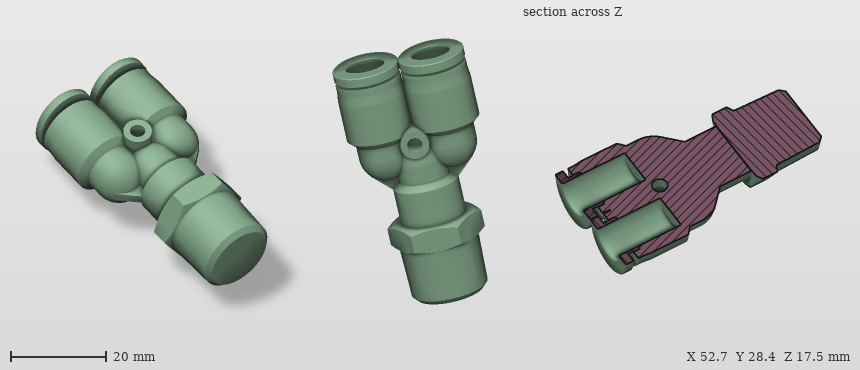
import cadquery as cq
import math

FLANGE_END = 1.95
BODY_START = 3.1
MOUTH_END = 4.6
TAPER_END = 6.65
SLEEVE_END = 15.4
SHOULDER_END = 16.75
DOME_START = 19.95
THROAT_START = 22.65
THROAT_END = 26.5
STEM_START = 27.7
HEX_START = 35.5
HEX_END = 40.75
TIP_CHAMFER_START = 51.6
LENGTH = 52.7

BRANCH_OFFSET = 7.0
SLEEVE_DIAMETER = 14.4
MOUTH_DIAMETER = 13.9
DOME_DIAMETER = 11.15
THROAT_DIAMETER = DOME_DIAMETER
STEM_DIAMETER = 14.0

FLANGE_WIDTH = 2 * BRANCH_OFFSET
FLANGE_HEIGHT = 16.0
FLANGE_CHAMFER = 0.2
COLLAR_DIAMETER = 9.7
BORE_DIAMETER = 8.2
BORE_CHAMFER = 0.2
COLLAR_END = 4.75

BORE_END = SLEEVE_END

BOSS_X = 17.15
BOSS_DIAMETER = 6.0
BOSS_HOLE_DIAMETER = 3.2
BOSS_HEIGHT = SLEEVE_DIAMETER

WEB_THICKNESS = 2.05

HEX_ACROSS_FLATS = 17.45
HEX_ACROSS_CORNERS = HEX_ACROSS_FLATS / math.cos(math.radians(30))
HEX_FACE_DIAMETER = 17.1
HEX_CHAMFER_LENGTH = 0.8
THREAD_ROOT_DIAMETER = 16.95
THREAD_TAPER = 1 / 16
THREAD_TIP_DIAMETER = THREAD_ROOT_DIAMETER - THREAD_TAPER * (TIP_CHAMFER_START - HEX_END)
TIP_FACE_DIAMETER = 14.1


def turned(stations):
    """Solid of revolution about X from (x, diameter) stations."""
    rim = [(x, diameter / 2) for x, diameter in stations]
    outline = [(stations[0][0], 0), *rim, (stations[-1][0], 0)]
    return cq.Workplane("XY").polyline(outline).close().revolve(360, (0, 0, 0), (1, 0, 0))


def cylinder(start, end, diameter):
    """Cylinder along X."""
    return turned([(start, diameter), (end, diameter)])


def branch():
    """One tube branch on the X axis, with a domed inner end."""
    radius = DOME_DIAMETER / 2
    return (
        cq.Workplane("XY")
        .moveTo(BODY_START, 0)
        .lineTo(BODY_START, MOUTH_DIAMETER / 2)
        .lineTo(MOUTH_END, MOUTH_DIAMETER / 2)
        .lineTo(TAPER_END, SLEEVE_DIAMETER / 2)
        .lineTo(SLEEVE_END, SLEEVE_DIAMETER / 2)
        .lineTo(SHOULDER_END, radius)
        .lineTo(DOME_START, radius)
        .radiusArc((DOME_START + radius, 0), radius)
        .close()
        .revolve(360, (0, 0, 0), (1, 0, 0))
    )


def stem():
    """Central outlet with its domed throat and conical shoulder."""
    radius = THROAT_DIAMETER / 2
    return (
        cq.Workplane("XY")
        .moveTo(THROAT_START - radius, 0)
        .radiusArc((THROAT_START, radius), radius)
        .lineTo(THROAT_END, radius)
        .lineTo(STEM_START, STEM_DIAMETER / 2)
        .lineTo(HEX_START, STEM_DIAMETER / 2)
        .lineTo(HEX_START, 0)
        .close()
        .revolve(360, (0, 0, 0), (1, 0, 0))
    )


def web():
    """Flat web whose slanted edges run from the stem to touch the domes."""
    reach = DOME_DIAMETER / 2 * math.sqrt(0.5)
    touch_x = DOME_START + reach
    touch_y = BRANCH_OFFSET + reach
    stem_radius = STEM_DIAMETER / 2
    outline = [
        (DOME_START, -BRANCH_OFFSET),
        (touch_x, -touch_y),
        (STEM_START, -stem_radius),
        (STEM_START, stem_radius),
        (touch_x, touch_y),
        (DOME_START, BRANCH_OFFSET),
    ]
    return cq.Workplane("XY").polyline(outline).close().extrude(WEB_THICKNESS / 2, both=True)


def vertical_cylinder(diameter):
    """Cylinder along Z on the boss axis."""
    return cq.Workplane("XY").center(BOSS_X, 0).circle(diameter / 2).extrude(BOSS_HEIGHT / 2, both=True)


def make_body():
    """Y body with stepped collar sockets and a through-drilled mounting boss."""
    body = stem().union(web())
    for side in (-1, 1):
        body = body.union(branch().translate((0, side * BRANCH_OFFSET, 0)))
    socket = cylinder(BODY_START, COLLAR_END, COLLAR_DIAMETER)
    tube_bore = cylinder(COLLAR_END, BORE_END, BORE_DIAMETER)
    cavity = socket.union(tube_bore)
    for side in (-1, 1):
        body = body.cut(cavity.translate((0, side * BRANCH_OFFSET, 0)))
    body = body.union(vertical_cylinder(BOSS_DIAMETER))
    return body.cut(vertical_cylinder(BOSS_HOLE_DIAMETER))


def make_collar(side):
    """Release collar: oval flange on a tube that seats on the socket step."""
    flange = (
        cq.Workplane("YZ")
        .ellipse(FLANGE_WIDTH / 2, FLANGE_HEIGHT / 2)
        .extrude(FLANGE_END)
        .faces("<X").chamfer(FLANGE_CHAMFER)
    )
    bore = turned([
        (0, BORE_DIAMETER + 2 * BORE_CHAMFER),
        (BORE_CHAMFER, BORE_DIAMETER),
        (COLLAR_END, BORE_DIAMETER),
    ])
    collar = flange.union(cylinder(FLANGE_END, COLLAR_END, COLLAR_DIAMETER)).cut(bore)
    return collar.translate((0, side * BRANCH_OFFSET, 0))


def make_fitting():
    """Hexagon with chamfered corners and a tapered thread blank."""
    hexagon = (
        cq.Workplane("YZ", origin=(HEX_START, 0, 0))
        .polygon(6, HEX_ACROSS_CORNERS)
        .extrude(HEX_END - HEX_START)
    )
    corner_envelope = turned([
        (HEX_START, HEX_FACE_DIAMETER),
        (HEX_START + HEX_CHAMFER_LENGTH, HEX_ACROSS_CORNERS),
        (HEX_END - HEX_CHAMFER_LENGTH, HEX_ACROSS_CORNERS),
        (HEX_END, HEX_FACE_DIAMETER),
    ])
    thread = turned([
        (HEX_END, THREAD_ROOT_DIAMETER),
        (TIP_CHAMFER_START, THREAD_TIP_DIAMETER),
        (LENGTH, TIP_FACE_DIAMETER),
    ])
    return hexagon.intersect(corner_envelope).union(thread)


body = make_body()
collars = [make_collar(side) for side in (-1, 1)]
fitting = make_fitting()

result = cq.Compound.makeCompound([
    body.solids().val(),
    *[collar.solids().val() for collar in collars],
    fitting.solids().val(),
])